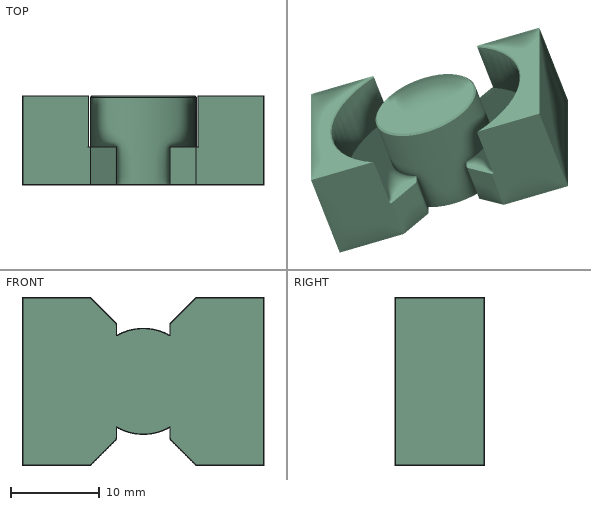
import cadquery as cq
import math

width = 27.3
depth = 10.1
height = 19.0

post_diameter = 12.0
post_chamfer = 0.2
chamfer_angle = 45.0
window_diameter = 22.52
window_chamfer = 0.15
leg_tip_radius = 0.05
back_thickness = 4.3
window_depth = depth - back_thickness

notch_floor_width = 6.0
notch_mouth_width = 11.95
notch_flare = (notch_mouth_width - notch_floor_width) / 2
notch_blend_radius = 0.55

mating_face_y = depth / 2


def cylinder_from_mating_face(diameter, length):
    """Cylinder along Y that runs from the mating face back into the core."""
    return (
        cq.Workplane("XZ", origin=(0, mating_face_y, 0))
        .circle(diameter / 2)
        .extrude(length)
    )


def notch_cutter(side):
    """Flared slot from the centre to the top (side = 1) or bottom (side = -1)."""
    half_floor = notch_floor_width / 2
    half_mouth = notch_mouth_width / 2
    edge_z = side * height / 2
    flare_z = side * (height / 2 - notch_flare)
    cutter = (
        cq.Workplane("XZ", origin=(0, mating_face_y, 0))
        .moveTo(-half_floor, 0)
        .lineTo(-half_floor, flare_z)
        .lineTo(-half_mouth, edge_z)
        .lineTo(half_mouth, edge_z)
        .lineTo(half_floor, flare_z)
        .lineTo(half_floor, 0)
        .close()
        .extrude(depth)
    )
    flare_corners = [
        (x, mating_face_y - depth / 2, flare_z) for x in (-half_floor, half_floor)
    ]
    for corner in flare_corners:
        cutter = cutter.edges(cq.NearestToPointSelector(corner)).fillet(notch_blend_radius)
    return cutter


core = cq.Workplane("XY").box(width, depth, height)
core = core.cut(cylinder_from_mating_face(window_diameter, window_depth))

for side in (1, -1):
    core = core.cut(notch_cutter(side))

leg_tip_x = math.sqrt((window_diameter / 2) ** 2 - (height / 2) ** 2)
leg_tip_y = mating_face_y - window_depth / 2
for tip_x in (-leg_tip_x, leg_tip_x):
    for tip_z in (-height / 2, height / 2):
        tip_edge = cq.NearestToPointSelector((tip_x, leg_tip_y, tip_z))
        core = core.edges(tip_edge).fillet(leg_tip_radius)

mouth_cone = (
    cq.Workplane("XZ", origin=(0, mating_face_y, 0))
    .circle(window_diameter / 2 + window_chamfer)
    .extrude(window_chamfer, taper=chamfer_angle)
)
core = core.cut(mouth_cone)

post = cylinder_from_mating_face(post_diameter, depth)
post = post.faces(">Y").edges().chamfer(post_chamfer)
result = core.union(post)